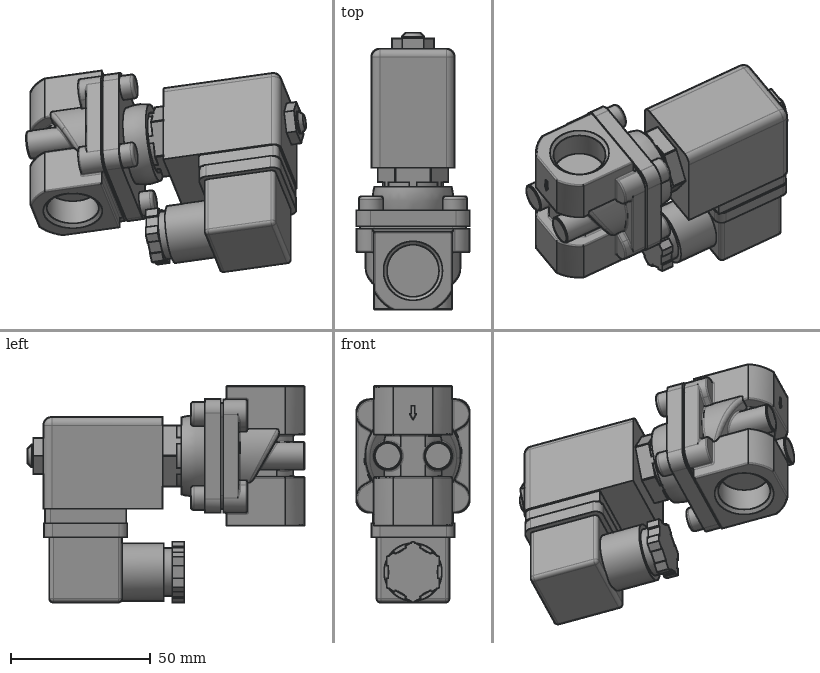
import cadquery as cq
import math


OVERLAP = 1.0
SLACK = 0.01

BODY_HALF_HEIGHT = 25.0
BLOCK_HALF_WIDTH = 14.0
BLOCK_CORNER_RADIUS = math.hypot(BLOCK_HALF_WIDTH, BLOCK_HALF_WIDTH / 2)
CAST_FILLET = 0.5
WAIST_HALF_HEIGHT = 7.5
CORE_HALF_WIDTH = 10.2
CORE_FRONT = -10.0
CORE_CORNER_RADIUS = 10.95

PORT_RADIUS = 9.3
PORT_MOUTH_RADIUS = 10.55
PORT_DEPTH = 11.0

ARROW_DEPTH = 0.2
ARROW_TAIL = 18.0
ARROW_SHOULDER = 15.0
ARROW_TIP = 12.9
ARROW_HEAD_HALF = 1.15
ARROW_SHAFT_HALF = 0.55

PIN_RADIUS = 5.0
PIN_OFFSET = 9.0
PIN_CHAMFER = 0.4

BOSS_RADIUS = 17.0
BOSS_SLOPE = 30.0
BOSS_FRONT_AT_AXIS = -0.6
BOSS_FILLET = 1.5

LOBE_FRONT = 6.6
FLANGE_FRONT = 9.5
FLANGE_BACK = 15.1
SEAL_BACK = 15.9
COVER_BACK = 21.7
SCREW_BACK = 26.7
BONNET_BACK = 30.1

FLANGE_HALF = 20.25
LOBE_RADIUS = 5.3
LOBE_SLOPE = 30.0
SEAL_HALF = 19.0
COVER_HALF = 20.35
CORNER_RADIUS = 5.0
SCREW_OFFSET = 15.0
SCREW_RADIUS = 4.35
SCREW_FILLET = 1.1
BONNET_END_RADIUS = 13.8
BONNET_MID_RADIUS = 14.45

HEX_FLATS = 22.0
HEX_CORNER_RADIUS = 12.6
HEX_COLLAR_RADIUS = 10.9
HEX_RIB_WIDTH = 2.6
HEX_FRONT = 31.7

COIL_FRONT = 36.8
COIL_BACK = 79.4
COIL_TOP = 13.95
COIL_BOTTOM = -18.9
COIL_HALF_WIDTH = 14.9
COIL_FILLET = 3.0

NUT_FLATS = 13.0
NUT_BACK = 83.0
STUD_RADIUS = 4.1
STUD_BACK = 85.1
STUD_CHAMFER = 1.5

NECK_FRONT = 49.75
NECK_BACK = 78.8
NECK_HALF_WIDTH = 14.35
NECK_BOTTOM = -24.0
NECK_CORNER_RADIUS = 1.9
PLATE_FRONT = 49.35
PLATE_BACK = 79.15
PLATE_BOTTOM = -29.1
PLATE_CORNER_RADIUS = 3.0
PLUG_FRONT = 51.2
PLUG_BACK = 77.3
PLUG_HALF_WIDTH = 13.05
PLUG_BOTTOM = -52.4
PLUG_FILLET = 1.5

GLAND_FLATS = 18.9
GLAND_CORNER_RADIUS = GLAND_FLATS / math.sqrt(3)
GLAND_Z = PLUG_BOTTOM + GLAND_CORNER_RADIUS
GLAND_FRONT = 29.0
GLAND_HEAD_BACK = 33.4
GLAND_NECK_BACK = 36.3
GLAND_NECK_RADIUS = 8.6
GLAND_BARREL_RADIUS = 10.35
GLAND_NOTCH_WIDTH = 4.5
GLAND_NOTCH_DEPTH = 0.65


def section_at(y, z=0.0):
    """XZ sketch plane at the given y; extruding goes towards -Y."""
    return cq.Workplane("XZ", origin=(0, y, z))


def cylinder(radius, front, back, x=0.0, z=0.0):
    return section_at(back, z).center(x, 0).circle(radius).extrude(back - front)


def hexagon(flats, front, back, z=0.0, turn=0.0):
    """Hexagonal prism along Y; with turn=0 two of its corners point along X."""
    corners = flats * 2 / math.sqrt(3)
    prism = section_at(back, z).polygon(6, corners).extrude(back - front)
    return prism.rotate((0, 0, z), (0, 1, z), turn)


def box(x_half, front, back, bottom, top):
    size = (2 * x_half, back - front, top - bottom)
    return cq.Workplane("XY").box(*size).translate((0, (front + back) / 2, (bottom + top) / 2))


def square_plate(half, front, back, corner_radius):
    plate = section_at(back).rect(2 * half, 2 * half).extrude(back - front)
    return plate.edges("|Y").fillet(corner_radius)


def port_column(half_width, front, back, corner_radius, bottom, top):
    """Block whose front corners are rounded about the port axis."""
    round_bar = cq.Workplane("XY", origin=(0, 0, bottom)).circle(corner_radius).extrude(top - bottom)
    rear = box(half_width, 0, back, bottom, top)
    return box(half_width, front, back, bottom, top).intersect(round_bar.union(rear))


def edges_within(part, low, high):
    """Edges of the part that lie completely inside the box between two corner points."""
    margin = cq.Vector(SLACK, SLACK, SLACK)
    low = cq.Vector(*low) - margin
    high = cq.Vector(*high) + margin
    return part.edges(cq.selectors.BoxSelector(low.toTuple(), high.toTuple(), boundingbox=True))


def port_block():
    """Square block around the upper port."""
    block = port_column(
        BLOCK_HALF_WIDTH, -BLOCK_HALF_WIDTH, BLOCK_HALF_WIDTH, BLOCK_CORNER_RADIUS,
        WAIST_HALF_HEIGHT, BODY_HALF_HEIGHT,
    )
    return block.faces("<Z or >Z").edges().fillet(CAST_FILLET)


def port_hole():
    bore = (
        cq.Workplane("XY", origin=(0, 0, BODY_HALF_HEIGHT))
        .circle(PORT_RADIUS)
        .extrude(-PORT_DEPTH)
    )
    mouth = cq.Solid.makeCone(
        PORT_RADIUS, PORT_MOUTH_RADIUS, PORT_MOUTH_RADIUS - PORT_RADIUS,
        pnt=cq.Vector(0, 0, BODY_HALF_HEIGHT - PORT_MOUTH_RADIUS + PORT_RADIUS),
    )
    return bore.union(cq.Workplane(mouth))


def with_pins(part):
    for x in (-PIN_OFFSET, PIN_OFFSET):
        pin = cylinder(PIN_RADIUS, -BLOCK_HALF_WIDTH, FLANGE_FRONT, x)
        part = part.union(pin.faces("<Y").edges().chamfer(PIN_CHAMFER))
    return part


def boss():
    """Flange with the round boss, ended by a sloping face that the pins stand on."""
    reach = 2 * BOSS_RADIUS
    lean = math.tan(math.radians(BOSS_SLOPE)) * reach
    top_front = BOSS_FRONT_AT_AXIS - lean
    bottom_front = BOSS_FRONT_AT_AXIS + lean
    keep = (
        cq.Workplane("YZ")
        .moveTo(FLANGE_BACK, reach)
        .lineTo(top_front, reach)
        .lineTo(bottom_front, -reach)
        .lineTo(FLANGE_BACK, -reach)
        .close()
        .extrude(reach, both=True)
    )
    drum = cylinder(BOSS_RADIUS, top_front, FLANGE_BACK).intersect(keep)
    drum = drum.faces("<Y").edges().fillet(BOSS_FILLET)
    drum = with_pins(drum)
    pin_edge = PIN_OFFSET + PIN_RADIUS
    low = (-pin_edge, top_front, -PIN_RADIUS)
    high = (pin_edge, FLANGE_FRONT, PIN_RADIUS)
    drum = drum.newObject(
        [e for e in edges_within(drum, low, high).vals() if e.geomType() == "ELLIPSE"]
    ).fillet(CAST_FILLET)
    flange = body_flange()
    part = flange.union(drum)
    low = (-BOSS_RADIUS, FLANGE_FRONT, -BOSS_RADIUS)
    high = (BOSS_RADIUS, FLANGE_FRONT, BOSS_RADIUS)
    return edges_within(part, low, high).fillet(CAST_FILLET)


def lobe():
    """Screw lobe in the +X +Z corner, with one side sloping towards the boss."""
    centre = FLANGE_HALF - LOBE_RADIUS
    slope = math.radians(LOBE_SLOPE)
    tangent_x = centre + LOBE_RADIUS * math.sin(slope)
    tangent_z = centre - LOBE_RADIUS * math.cos(slope)
    inner_x = BLOCK_HALF_WIDTH - OVERLAP
    inner_z = tangent_z - (tangent_x - inner_x) * math.tan(slope)
    outline = (
        section_at(FLANGE_BACK)
        .moveTo(inner_x, FLANGE_HALF)
        .lineTo(centre, FLANGE_HALF)
        .threePointArc((FLANGE_HALF, centre), (tangent_x, tangent_z))
        .lineTo(inner_x, inner_z)
        .close()
    )
    return outline.extrude(FLANGE_BACK - LOBE_FRONT).faces("<Y").edges().fillet(CAST_FILLET)


def body_flange():
    """Square flange with rounded corners and a rounded front rim."""
    flange = square_plate(FLANGE_HALF, FLANGE_FRONT, FLANGE_BACK, LOBE_RADIUS)
    return flange.faces("<Y").edges().fillet(CAST_FILLET)


def upper_body():
    """Upper port block and its two lobes on the flange, rounded where they meet."""
    corner = lobe()
    part = port_block().union(body_flange()).union(corner).union(corner.mirror("YZ"))
    lowest = WAIST_HALF_HEIGHT + CAST_FILLET + 2 * SLACK
    low = (-BLOCK_HALF_WIDTH, LOBE_FRONT, lowest)
    high = (BLOCK_HALF_WIDTH, BLOCK_HALF_WIDTH, FLANGE_HALF)
    part = edges_within(part, low, high).fillet(CAST_FILLET)
    side = FLANGE_HALF - CAST_FILLET
    lobe_roots = edges_within(
        part,
        (-side, FLANGE_FRONT, lowest),
        (side, FLANGE_FRONT, FLANGE_HALF - LOBE_RADIUS),
    )
    return lobe_roots.fillet(CAST_FILLET)


def core():
    """Column joining the two port blocks, blended into the pins and the block faces."""
    half_height = WAIST_HALF_HEIGHT + OVERLAP
    column = port_column(
        CORE_HALF_WIDTH, CORE_FRONT, FLANGE_BACK, CORE_CORNER_RADIUS, -half_height, half_height
    )
    column = with_pins(column)
    low = (-BLOCK_HALF_WIDTH, CORE_FRONT, -PIN_RADIUS)
    high = (BLOCK_HALF_WIDTH, 0, PIN_RADIUS)
    pin_roots = edges_within(column, low, high)
    pin_roots = pin_roots.newObject([e for e in pin_roots.vals() if e.geomType() != "LINE"])
    column = pin_roots.fillet(CAST_FILLET)
    slab = port_column(
        BLOCK_HALF_WIDTH - OVERLAP, OVERLAP - BLOCK_HALF_WIDTH, FLANGE_BACK,
        BLOCK_CORNER_RADIUS - OVERLAP, WAIST_HALF_HEIGHT, half_height,
    )
    column = column.union(slab).union(slab.mirror("XY"))
    for z in (-WAIST_HALF_HEIGHT, WAIST_HALF_HEIGHT):
        low = (-CORE_HALF_WIDTH, CORE_FRONT, z)
        face_roots = edges_within(column, low, (CORE_HALF_WIDTH, FLANGE_BACK, z))
        column = face_roots.fillet(CAST_FILLET)
    return column


def flow_arrow():
    """Shallow engraved arrow pointing from the upper port to the lower one."""
    return (
        section_at(-BLOCK_HALF_WIDTH + ARROW_DEPTH)
        .moveTo(0, ARROW_TIP)
        .lineTo(ARROW_HEAD_HALF, ARROW_SHOULDER)
        .lineTo(ARROW_SHAFT_HALF, ARROW_SHOULDER)
        .lineTo(ARROW_SHAFT_HALF, ARROW_TAIL)
        .lineTo(-ARROW_SHAFT_HALF, ARROW_TAIL)
        .lineTo(-ARROW_SHAFT_HALF, ARROW_SHOULDER)
        .lineTo(-ARROW_HEAD_HALF, ARROW_SHOULDER)
        .close()
        .extrude(ARROW_DEPTH)
    )


def valve_body():
    upper = upper_body()
    body = core().union(boss()).union(upper).union(upper.mirror("XY"))
    hole = port_hole()
    return body.cut(hole).cut(hole.mirror("XY")).cut(flow_arrow())


def cover():
    part = square_plate(SEAL_HALF, FLANGE_BACK - OVERLAP, COVER_BACK, CORNER_RADIUS)
    part = part.union(square_plate(COVER_HALF, SEAL_BACK, COVER_BACK, CORNER_RADIUS))
    for x in (-SCREW_OFFSET, SCREW_OFFSET):
        for z in (-SCREW_OFFSET, SCREW_OFFSET):
            head = cylinder(SCREW_RADIUS, COVER_BACK - OVERLAP, SCREW_BACK, x, z)
            part = part.union(head.faces(">Y").edges().fillet(SCREW_FILLET))
    bonnet = (
        cq.Workplane("YZ")
        .moveTo(COVER_BACK, 0)
        .lineTo(COVER_BACK, BONNET_END_RADIUS)
        .threePointArc(
            ((COVER_BACK + BONNET_BACK) / 2, BONNET_MID_RADIUS),
            (BONNET_BACK, BONNET_END_RADIUS),
        )
        .lineTo(BONNET_BACK, 0)
        .close()
        .revolve(360, (0, 0, 0), (1, 0, 0))
    )
    return part.union(bonnet)


def actuator_hex():
    prism = hexagon(HEX_FLATS, HEX_FRONT, COIL_FRONT)
    prism = prism.intersect(cylinder(HEX_CORNER_RADIUS, HEX_FRONT, COIL_FRONT))
    part = prism.union(cylinder(HEX_COLLAR_RADIUS, BONNET_BACK, HEX_FRONT))
    rib = section_at(HEX_FRONT).rect(HEX_RIB_WIDTH, HEX_FLATS).extrude(HEX_FRONT - BONNET_BACK)
    for turn in (0, 60, 120):
        part = part.union(rib.rotate((0, 0, 0), (0, 1, 0), turn))
    return part


def coil():
    part = box(COIL_HALF_WIDTH, COIL_FRONT, COIL_BACK, COIL_BOTTOM, COIL_TOP)
    part = part.edges("(|Y and >Z) or (>Y and (not <Z))").fillet(COIL_FILLET)
    part = part.union(hexagon(NUT_FLATS, COIL_BACK, NUT_BACK))
    stud = cylinder(STUD_RADIUS, COIL_BACK, STUD_BACK).faces(">Y").edges().chamfer(STUD_CHAMFER)
    return part.union(stud)


def connector():
    neck = box(NECK_HALF_WIDTH, NECK_FRONT, NECK_BACK, NECK_BOTTOM, COIL_BOTTOM)
    neck = neck.edges("|Z and >Y").fillet(NECK_CORNER_RADIUS)
    plate = box(COIL_HALF_WIDTH, PLATE_FRONT, PLATE_BACK, PLATE_BOTTOM, NECK_BOTTOM)
    plate = plate.edges("|Z").fillet(PLATE_CORNER_RADIUS)
    plug = box(PLUG_HALF_WIDTH, PLUG_FRONT, PLUG_BACK, PLUG_BOTTOM, PLATE_BOTTOM)
    plug = plug.edges("|Z or <Z").fillet(PLUG_FILLET)
    return neck.union(plate).union(plug)


def cable_gland():
    plug_middle = (PLUG_FRONT + PLUG_BACK) / 2
    barrel = cylinder(GLAND_BARREL_RADIUS, GLAND_NECK_BACK, plug_middle, z=GLAND_Z)
    neck = cylinder(GLAND_NECK_RADIUS, GLAND_HEAD_BACK, GLAND_NECK_BACK, z=GLAND_Z)
    head = hexagon(GLAND_FLATS, GLAND_FRONT, GLAND_HEAD_BACK, GLAND_Z, turn=30)
    notch = (
        section_at(GLAND_HEAD_BACK, GLAND_Z)
        .center(GLAND_FLATS / 2, 0)
        .rect(2 * GLAND_NOTCH_DEPTH, GLAND_NOTCH_WIDTH)
        .extrude(GLAND_HEAD_BACK - GLAND_FRONT)
    )
    for side in range(6):
        head = head.cut(notch.rotate((0, 0, GLAND_Z), (0, 1, GLAND_Z), 60 * side))
    return barrel.union(neck).union(head)


result = valve_body()
for piece in (cover(), actuator_hex(), coil(), connector(), cable_gland()):
    result = result.union(piece)